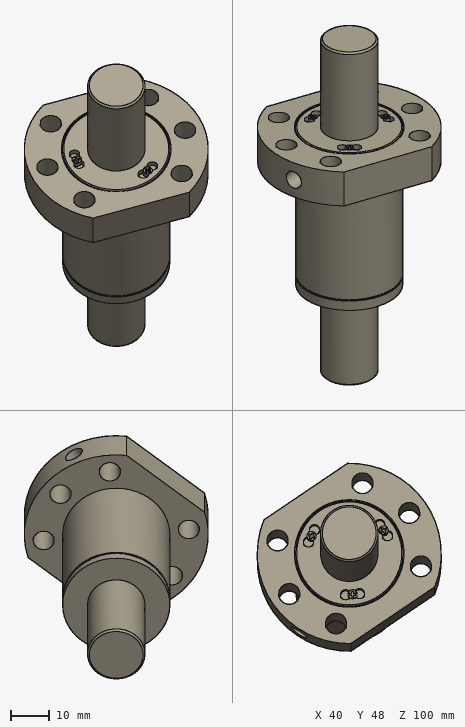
import cadquery as cq
import math

shaft_length = 100.0
shaft_diameter = 15.0
shaft_chamfer = 0.5

nut_diameter = 28.0
nut_length = 47.2
flange_diameter = 48.0
flange_width = 40.0
flange_thickness = 10.2
nut_top = nut_length / 2
nut_bottom = -nut_length / 2
flange_bottom = nut_top - flange_thickness

bolt_hole_diameter = 5.5
bolt_circle_radius = 19.0
bolt_hole_angles = (45, 90, 135, 225, 270, 315)

oil_hole_diameter = 4.9
oil_hole_angle = (bolt_hole_angles[1] + bolt_hole_angles[2]) / 2

seal_diameter = nut_diameter
seal_chamfer = 0.3
seal_gap = 0.3
lower_seal_height = 2.8
lower_groove_width = 0.3
lower_groove_depth = 0.3

screw_count = 3
first_screw_angle = -90
screw_circle_radius = 10.9
screw_head_diameter = 2.4
screw_head_sink = 0.2
cross_length = 1.6
cross_width = 0.5
cross_depth = 0.5
side_pocket_diameter = 2.7
side_pocket_offset = 1.8
side_pocket_depth = 1.5


def cylinder(diameter, bottom, top):
    """Solid cylinder on the Z axis between two heights."""
    return cq.Workplane("XY").workplane(offset=bottom).circle(diameter / 2).extrude(top - bottom)


def make_shaft():
    rod = cylinder(shaft_diameter, -shaft_length / 2, shaft_length / 2)
    return rod.faces("<Z or >Z").chamfer(shaft_chamfer)


def make_flange():
    disc = cylinder(flange_diameter, flange_bottom, nut_top)
    flats = cq.Workplane("XY").box(flange_width, flange_diameter, nut_length)
    bolt_points = [
        (
            bolt_circle_radius * math.cos(math.radians(angle)),
            bolt_circle_radius * math.sin(math.radians(angle)),
        )
        for angle in bolt_hole_angles
    ]
    bolt_holes = (
        cq.Workplane("XY")
        .workplane(offset=flange_bottom)
        .pushPoints(bolt_points)
        .circle(bolt_hole_diameter / 2)
        .extrude(flange_thickness)
    )
    return disc.intersect(flats).cut(bolt_holes)


def make_oil_hole():
    """Blind hole from the flange rim inwards to the nut body diameter."""
    inner_end = nut_diameter / 2
    return (
        cq.Workplane("YZ")
        .workplane(offset=inner_end)
        .center(0, flange_bottom + flange_thickness / 2)
        .circle(oil_hole_diameter / 2)
        .extrude(flange_diameter / 2 - inner_end)
        .rotate((0, 0, 0), (0, 0, 1), oil_hole_angle)
    )


def make_upper_seal_gap():
    """Ring gap whose inner wall is the chamfered rim of the seal."""
    seal_radius = seal_diameter / 2
    gap_bottom = nut_top - seal_chamfer
    return (
        cq.Workplane("XZ")
        .moveTo(seal_radius - seal_chamfer, nut_top)
        .lineTo(seal_radius, gap_bottom)
        .lineTo(seal_radius + seal_gap, gap_bottom)
        .lineTo(seal_radius + seal_gap, nut_top)
        .close()
        .revolve(360, (0, 0, 0), (0, 1, 0))
    )


def make_lower_seal_groove():
    groove_bottom = nut_bottom + lower_seal_height
    groove_top = groove_bottom + lower_groove_width
    groove = cylinder(nut_diameter, groove_bottom, groove_top)
    return groove.cut(cylinder(nut_diameter - 2 * lower_groove_depth, groove_bottom, groove_top))


def make_screw_cut(angle):
    """Material removed around and in one seal screw."""
    top_plane = cq.Workplane("XY").workplane(offset=nut_top).center(screw_circle_radius, 0)
    screw = top_plane.circle(screw_head_diameter / 2).extrude(-side_pocket_depth)
    cut = (
        top_plane.pushPoints([(0, side_pocket_offset), (0, -side_pocket_offset)])
        .circle(side_pocket_diameter / 2)
        .extrude(-side_pocket_depth)
        .cut(screw)
    )
    cut = cut.union(top_plane.circle(screw_head_diameter / 2).extrude(-screw_head_sink))
    for bar_size in ((cross_length, cross_width), (cross_width, cross_length)):
        cut = cut.union(top_plane.rect(*bar_size).extrude(-screw_head_sink - cross_depth))
    return cut.rotate((0, 0, 0), (0, 0, 1), angle)


nut = cylinder(nut_diameter, nut_bottom, nut_top).union(make_flange())
nut = nut.cut(make_oil_hole())
nut = nut.cut(make_upper_seal_gap())
nut = nut.cut(make_lower_seal_groove())
for index in range(screw_count):
    nut = nut.cut(make_screw_cut(first_screw_angle + index * 360 / screw_count))

result = nut.union(make_shaft())